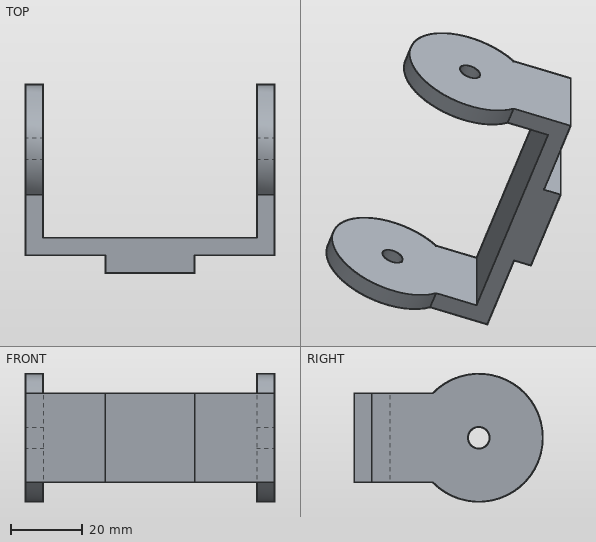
import cadquery as cq

bracket_width = 70.0
band_height = 25.0
thickness = 5.0
ear_radius = 18.0
pivot_hole_diameter = 6.0
pivot_to_wall = 30.0
pad_width = 25.0

wall_outer_y = -pivot_to_wall
arm_outer_x = bracket_width / 2


def make_wall():
    return (
        cq.Workplane("XY")
        .box(bracket_width, thickness, band_height, centered=(True, False, True))
        .translate((0, wall_outer_y, 0))
    )


def make_pad():
    return (
        cq.Workplane("XY")
        .box(pad_width, thickness, band_height, centered=(True, False, True))
        .translate((0, wall_outer_y - thickness, 0))
    )


def make_arm(start_x):
    """Arm with its round ear, occupying start_x to start_x + thickness."""
    shank = (
        cq.Workplane("XY")
        .box(thickness, pivot_to_wall, band_height, centered=(False, False, True))
        .translate((start_x, wall_outer_y, 0))
    )
    ear = cq.Workplane("YZ", origin=(start_x, 0, 0)).circle(ear_radius).extrude(thickness)
    return shank.union(ear)


def make_pivot_hole():
    """Cylinder along X that passes through both ears."""
    return (
        cq.Workplane("YZ")
        .circle(pivot_hole_diameter / 2)
        .extrude(bracket_width / 2, both=True)
    )


bracket = make_wall().union(make_pad())
for arm_start_x in (-arm_outer_x, arm_outer_x - thickness):
    bracket = bracket.union(make_arm(arm_start_x))

result = bracket.cut(make_pivot_hole()).clean()